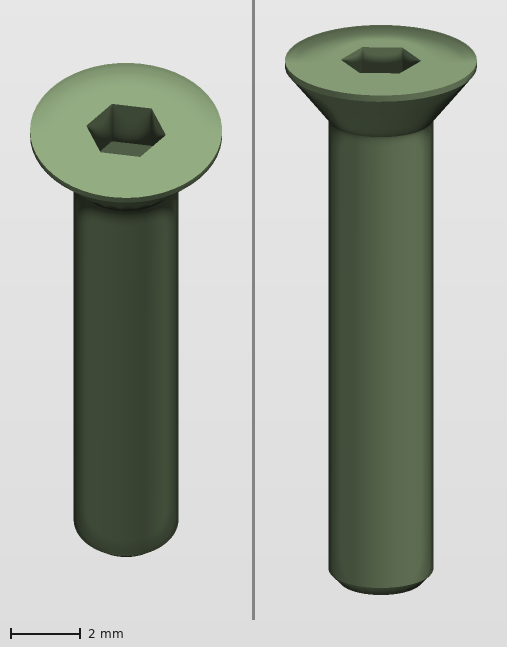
import cadquery as cq
import math

length = 16.0
head_diameter = 5.5
head_height = 1.78
rim_height = 0.2
shank_diameter = 3.0
tip_diameter = 2.4
tip_height = 0.34
socket_across_flats = 2.0
socket_depth = 1.5

head_radius = head_diameter / 2
shank_radius = shank_diameter / 2
tip_radius = tip_diameter / 2


def make_body():
    """Revolve the half profile of tip, shank, conical head and rim."""
    return (
        cq.Workplane("XZ")
        .lineTo(tip_radius, 0)
        .lineTo(shank_radius, tip_height)
        .lineTo(shank_radius, length - head_height)
        .lineTo(head_radius, length - rim_height)
        .lineTo(head_radius, length)
        .lineTo(0, length)
        .close()
        .revolve(360, (0, 0, 0), (0, 1, 0))
    )


def make_socket():
    """Hexagonal prism with two flats facing +X and -X."""
    across_corners = socket_across_flats / math.cos(math.pi / 6)
    return (
        cq.Workplane("XY")
        .workplane(offset=length - socket_depth)
        .polygon(6, across_corners)
        .extrude(socket_depth)
        .rotate((0, 0, 0), (0, 0, 1), 30)
    )


result = make_body().cut(make_socket())